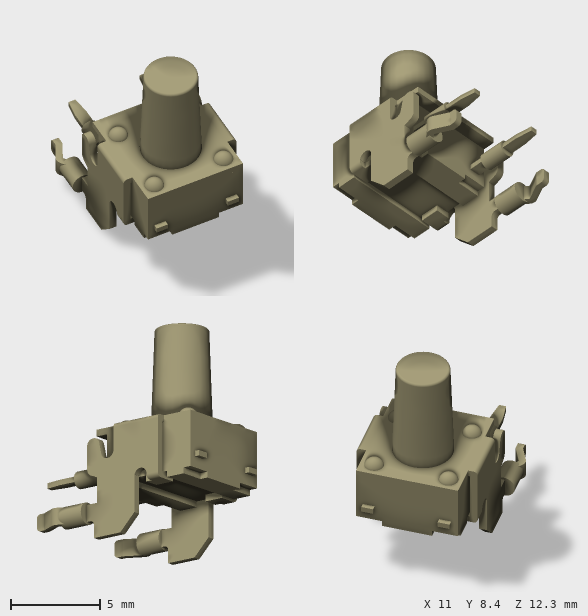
import cadquery as cq
import math


housing_size = 6.0
housing_half = housing_size / 2
housing_bottom = -3.63
underside_recess_top = -3.28
underside_recess_height = underside_recess_top - housing_bottom
groove_width = 2.66
corner_recess_length = 0.49
corner_recess_width = 1.53
spacer_bottom = -0.97
spacer_inset = 0.49

plate_thickness = 0.39
plate_overhang = 0.74
wall_thickness = 0.44
wall_outer = 3.57
wall_inner = wall_outer - wall_thickness
wall_left = -2.08
wall_right = 1.11
wall_bend_radius = 0.25

finger_radius = 0.39
finger_flat = 0.09
finger_left = -3.96
finger_arc_x = finger_left + finger_radius + finger_flat
finger_arc_z = -1.06
finger_bottom = -2.99
finger_bottom_slope = 23.0
finger_bottom_radius = 0.43
slot_radius = 0.39
slot_flat = 0.09
slot_arc_x = wall_left - slot_radius - slot_flat
slot_arc_z = -1.59
neck_left = -3.25
foot_left = -3.48
foot_right = -0.58
foot_bottom = -6.48
foot_chamfer = 1.01
foot_inner_radius = 0.25
relief_radius = 0.44
relief_right = foot_right + 2 * relief_radius

tab_left = -0.07
tab_inner = 2.2
tab_bottom = underside_recess_top - plate_thickness
tab_bend_radius = 0.27

leg_top = -4.46
leg_height = 1.0
leg_bottom = leg_top - leg_height
prong_thickness = 0.4
prong_root_x = -4.85
prong_peak_x = -5.78
prong_flat_x = -6.95
prong_tip_x = -7.47
prong_tip_outer = 3.69
prong_out_angle = 36.0
prong_back_angle = 26.6
prong_peak_radius = 0.45
prong_tip_radius = 0.25

collar_left = -5.56
collar_length = 1.6
leg_collar_radius = 0.64
leg_collar_y = 3.5
pin_collar_radius = 0.5

dome_spacing = 4.38
dome_radius = 0.55
dome_height = 0.43

button_height = 5.82
button_top_radius = 1.54
button_base_radius = 1.75
button_edge_radius = 0.14

pin_y = 2.25
pin_z = -2.47
pin_width = 0.7
pin_thickness = 0.32
pin_left = -7.7
pin_right = 3.3
pin_taper_length = 1.02
pin_tip_width = 0.42


def block(x_range, y_range, z_range):
    """Box between two limits along each axis."""
    lows, highs = zip(x_range, y_range, z_range)
    sizes = [high - low for low, high in zip(lows, highs)]
    return cq.Workplane("XY").box(*sizes, centered=False).translate(lows)


def collar(radius, y, z):
    """Cylinder along X that surrounds a leg or a pin."""
    return cq.Workplane("YZ", origin=(collar_left, y, z)).circle(radius).extrude(collar_length)


def make_pin(y):
    """Flat pin through the housing, with a tapered tip and a collar."""
    half_width = pin_width / 2
    half_tip = pin_tip_width / 2
    taper_end = pin_left + pin_taper_length
    outline = [
        (pin_left, -half_tip),
        (taper_end, -half_width),
        (pin_right, -half_width),
        (pin_right, half_width),
        (taper_end, half_width),
        (pin_left, half_tip),
    ]
    blade = (
        cq.Workplane("XY", origin=(0, y, pin_z - pin_thickness / 2))
        .polyline(outline)
        .close()
        .extrude(pin_thickness)
    )
    return blade.union(collar(pin_collar_radius, y, pin_z))


def make_button():
    """Tapered plunger that passes through the cover plate and rests on the housing."""
    taper = (button_base_radius - button_top_radius) / button_height
    foot_radius = button_base_radius + taper * plate_thickness
    profile = [
        (0, -plate_thickness),
        (foot_radius, -plate_thickness),
        (button_top_radius, button_height),
        (0, button_height),
    ]
    body = cq.Workplane("XZ").polyline(profile).close().revolve(360, (0, 0, 0), (0, 1, 0))
    return body.faces(">Z").edges().fillet(button_edge_radius)


def make_housing(pins):
    """Moulded block with an underside groove, corner recesses and a slot for each pin."""
    body = block(
        (-housing_half, housing_half),
        (-housing_half, housing_half),
        (housing_bottom, -plate_thickness),
    )
    recess_z = housing_bottom + underside_recess_height / 2
    groove = cq.Workplane("XY", origin=(0, 0, recess_z)).box(
        groove_width, housing_size, underside_recess_height
    )
    corners = (
        cq.Workplane("XY", origin=(0, 0, recess_z))
        .rect(housing_size, housing_size, forConstruction=True)
        .vertices()
        .box(2 * corner_recess_length, 2 * corner_recess_width, underside_recess_height)
    )
    spacer = block(
        (wall_left + spacer_inset, wall_right - spacer_inset),
        (-wall_inner, -housing_half),
        (spacer_bottom, -plate_thickness),
    )
    body = body.cut(groove).cut(corners).union(spacer)
    for pin in pins:
        body = body.cut(pin)
    return body


def make_wall():
    """The +Y side wall with its finger, slot, foot and leg root."""
    center_dx = slot_arc_x - finger_arc_x
    center_dz = slot_arc_z - finger_arc_z
    center_distance = math.hypot(center_dx, center_dz)
    flank_normal = math.atan2(center_dz, center_dx) + math.acos(
        (finger_radius + slot_radius) / center_distance
    )
    normal_x = math.cos(flank_normal)
    normal_z = math.sin(flank_normal)
    flank_top = (finger_arc_x + finger_radius * normal_x, finger_arc_z + finger_radius * normal_z)
    flank_bottom = (slot_arc_x - slot_radius * normal_x, slot_arc_z - slot_radius * normal_z)
    finger_corner_z = finger_bottom + (neck_left - finger_left) * math.tan(math.radians(finger_bottom_slope))

    wall = (
        cq.Workplane("XZ", origin=(0, wall_inner, 0))
        .moveTo(wall_left, 0)
        .lineTo(wall_left, slot_arc_z)
        .radiusArc((wall_left - slot_radius, slot_arc_z - slot_radius), slot_radius)
        .lineTo(slot_arc_x, slot_arc_z - slot_radius)
        .radiusArc(flank_bottom, slot_radius)
        .lineTo(*flank_top)
        .radiusArc((finger_arc_x, finger_arc_z + finger_radius), -finger_radius)
        .lineTo(finger_left + finger_radius, finger_arc_z + finger_radius)
        .radiusArc((finger_left, finger_arc_z), -finger_radius)
        .lineTo(finger_left, finger_corner_z)
        .lineTo(neck_left, finger_bottom)
        .lineTo(neck_left, leg_top)
        .lineTo(prong_root_x, leg_top)
        .lineTo(prong_root_x, leg_bottom)
        .lineTo(foot_left, leg_bottom)
        .lineTo(foot_left, foot_bottom)
        .lineTo(foot_right - foot_chamfer, foot_bottom)
        .lineTo(foot_right, foot_bottom + foot_chamfer)
        .lineTo(foot_right, underside_recess_top)
        .lineTo(relief_right, underside_recess_top)
        .lineTo(relief_right, tab_bottom)
        .lineTo(wall_right, tab_bottom)
        .lineTo(wall_right, 0)
        .close()
        .extrude(-wall_thickness)
    )

    def upright_edge(x, z):
        return cq.selectors.NearestToPointSelector((x, wall_inner + wall_thickness / 2, z))

    wall = wall.edges(upright_edge(finger_left, finger_corner_z)).fillet(finger_bottom_radius)
    wall = wall.edges(upright_edge(foot_left, leg_bottom)).fillet(foot_inner_radius)
    tab = block(
        (tab_left, wall_right), (tab_inner, wall_inner), (tab_bottom, underside_recess_top)
    )
    relief_z = tab_bottom + tab_bend_radius
    relief = (
        cq.Workplane("XZ", origin=(foot_right + relief_radius, wall_inner, relief_z))
        .circle(relief_radius)
        .extrude(-wall_thickness)
    )
    wall = wall.cut(relief).union(tab)
    bend_edge = cq.selectors.NearestToPointSelector(
        ((relief_right + wall_right) / 2, wall_outer, tab_bottom)
    )
    return wall.edges(bend_edge).fillet(tab_bend_radius)


def make_prong():
    """Bent end of the +Y leg: out to a peak, back in, then a straight rounded tip."""
    out_angle = math.radians(prong_out_angle)
    back_angle = math.radians(prong_back_angle)
    peak_y = prong_tip_outer + (prong_peak_x - prong_flat_x) * math.tan(back_angle)
    root_bend_x = prong_peak_x + (peak_y - wall_outer) / math.tan(out_angle)

    outer = [
        ((prong_tip_x, prong_tip_outer), 0, 0),
        ((prong_flat_x, prong_tip_outer), 0, back_angle),
        ((prong_peak_x, peak_y), back_angle, -out_angle),
        ((root_bend_x, wall_outer), -out_angle, 0),
        ((collar_left + collar_length, wall_outer), 0, 0),
    ]
    inner = []
    for (x, y), before, after in outer:
        middle = (before + after) / 2
        mitre = prong_thickness / math.cos((after - before) / 2)
        inner.append((x + mitre * math.sin(middle), y - mitre * math.cos(middle)))

    outline = [point for point, before, after in outer] + inner[::-1]
    outer_peak = (prong_peak_x, peak_y)
    inner_peak = inner[outline.index(outer_peak)]
    strip = cq.Workplane("XY", origin=(0, 0, leg_bottom)).polyline(outline).close().extrude(leg_height)

    def fold_edge(point):
        return cq.selectors.NearestToPointSelector((*point, leg_bottom + leg_height / 2))

    strip = strip.edges(fold_edge(outer_peak)).fillet(prong_peak_radius)
    strip = strip.edges(fold_edge(inner_peak)).fillet(prong_peak_radius - prong_thickness)
    return strip.faces("<X").edges("|Y").fillet(prong_tip_radius)


def make_domes():
    """Spherical caps standing on the cover plate."""
    sphere_radius = (dome_radius**2 + dome_height**2) / (2 * dome_height)
    profile = (
        cq.Workplane("XZ")
        .moveTo(0, 0)
        .lineTo(dome_radius, 0)
        .radiusArc((0, dome_height), -sphere_radius)
        .close()
    )
    dome = profile.revolve(360, (0, 0, 0), (0, 1, 0)).val()
    return (
        cq.Workplane("XY")
        .rect(dome_spacing, dome_spacing, forConstruction=True)
        .vertices()
        .eachpoint(lambda place: dome.moved(place))
    )


def make_cover(button):
    """Plate with domes, and a bent wall with a leg on each side."""
    plate = block(
        (-housing_half - plate_overhang, housing_half),
        (-housing_half, housing_half),
        (-plate_thickness, 0),
    )
    bridge = block((wall_left, wall_right), (0, wall_inner), (-plate_thickness, 0))
    side = make_wall().union(bridge)
    side = side.edges("|X and >Y and >Z").fillet(wall_bend_radius)
    side = side.union(make_prong()).union(collar(leg_collar_radius, leg_collar_y, leg_top - leg_height / 2))
    cover = plate.union(side).union(side.mirror("XZ"))
    return cover.union(make_domes()).cut(button)


pins = [make_pin(y) for y in (-pin_y, pin_y)]
button = make_button()
housing = make_housing(pins)
cover = make_cover(button)

result = cq.Compound.makeCompound(
    [housing.val(), cover.val(), button.val(), *[pin.val() for pin in pins]]
)